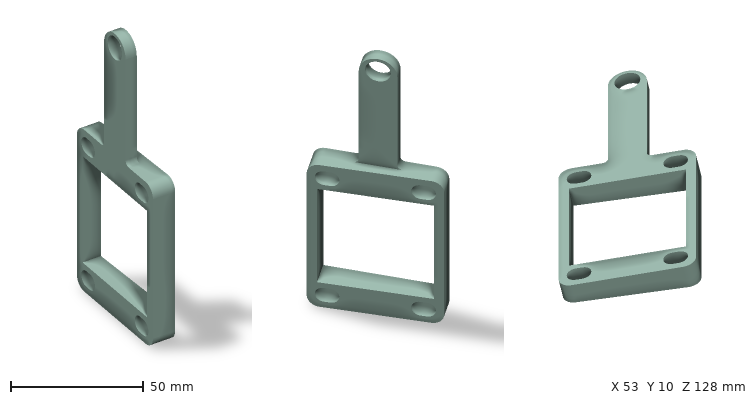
import cadquery as cq
import math

frame_width = 53.0
frame_height = 73.0
corner_radius = 5.0
thick_side = 10.0
taper_angle = 2.0
thin_side = thick_side - frame_width * math.tan(math.radians(taper_angle))

window_width = 45.0
window_height = 48.0

slot_length = 9.5
slot_height = 7.0
slot_spacing_x = 37.2
slot_spacing_z = 60.0

total_height = 128.0
arm_width = 15.0
arm_thickness = 5.0
arm_root_fillet = 2.0
arm_hole_diameter = 10.0
arm_hole_z = 121.6

center_x = frame_width / 2
center_z = frame_height / 2


def front_sketch(x, z):
    """Workplane on the front face; positive extrusion goes toward -Y."""
    return cq.Workplane("XZ", origin=(x, 0, z))


def make_frame():
    """Wedge-shaped plate, thicker toward +X, with rounded corners."""
    wedge = (
        cq.Workplane("XY")
        .polyline([(0, 0), (frame_width, 0), (frame_width, thick_side), (0, thin_side)])
        .close()
        .extrude(frame_height)
    )
    rounded_block = (
        front_sketch(center_x, center_z)
        .rect(frame_width, frame_height)
        .extrude(-thick_side)
        .edges("|Y")
        .fillet(corner_radius)
    )
    return wedge.intersect(rounded_block)


def make_arm():
    """Arm outline with a semicircular end and concave fillets at its root."""
    half_width = arm_width / 2
    end_center_z = total_height - half_width
    root_half_width = half_width + arm_root_fillet
    fillet_top_z = frame_height + arm_root_fillet
    arm_base_z = frame_height - arm_root_fillet
    fillet_mid = arm_root_fillet * (1 - math.sqrt(0.5))
    return (
        front_sketch(center_x, 0)
        .moveTo(-root_half_width, arm_base_z)
        .lineTo(root_half_width, arm_base_z)
        .lineTo(root_half_width, frame_height)
        .threePointArc((half_width + fillet_mid, frame_height + fillet_mid), (half_width, fillet_top_z))
        .lineTo(half_width, end_center_z)
        .threePointArc((0, total_height), (-half_width, end_center_z))
        .lineTo(-half_width, fillet_top_z)
        .threePointArc((-half_width - fillet_mid, frame_height + fillet_mid), (-root_half_width, frame_height))
        .close()
        .extrude(-arm_thickness)
    )


def make_window():
    return front_sketch(center_x, center_z).rect(window_width, window_height).extrude(-thick_side)


def make_slots():
    return (
        front_sketch(center_x, center_z)
        .rarray(slot_spacing_x, slot_spacing_z, 2, 2)
        .slot2D(slot_length, slot_height)
        .extrude(-thick_side)
    )


def make_arm_hole():
    return front_sketch(center_x, arm_hole_z).circle(arm_hole_diameter / 2).extrude(-arm_thickness)


body = make_frame().union(make_arm())
result = body.cut(make_window()).cut(make_slots()).cut(make_arm_hole())